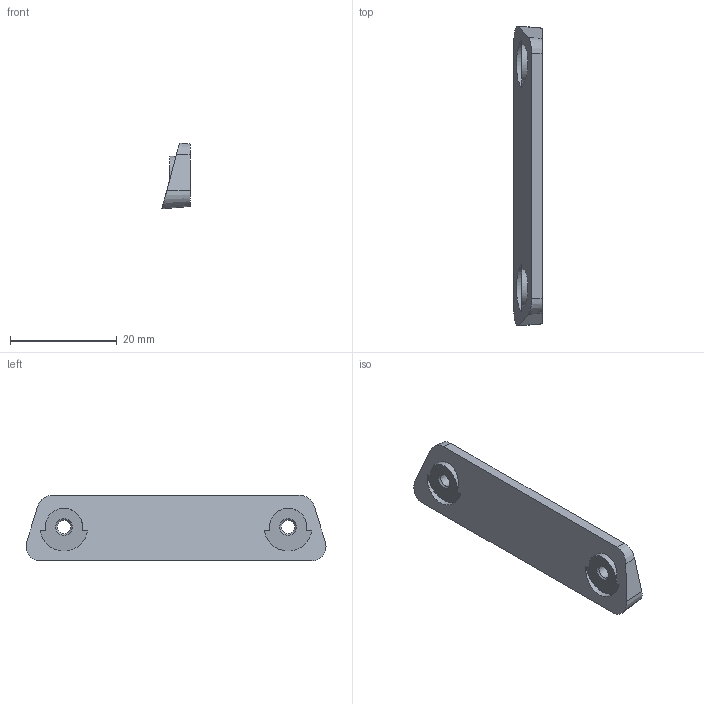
import cadquery as cq
import math

depth_at_bottom = 5.28
height = 12.33
bottom_z = -6.34
top_z = bottom_z + height
front_slope = 15.0
wall_draft = 5.0
end_slope = 15.8
back_bottom_length = 56.88
lower_corner_radius = 2.3
upper_corner_radius = 2.8

hole_spacing = 42.0
hole_diameter = 2.5
hole_mouth_chamfer = 0.3
boss_diameter = 7.0
pocket_diameter = 9.0
seat_z = -0.73

front_lean = math.tan(math.radians(front_slope))
draft_rate = math.tan(math.radians(wall_draft))
depth_at_top = depth_at_bottom - height * front_lean
seat_depth = depth_at_bottom - (seat_z - bottom_z) * front_lean
back_bottom_z = bottom_z + depth_at_bottom * draft_rate
back_top_z = top_z - depth_at_top * draft_rate
end_inset = (back_top_z - back_bottom_z) * math.tan(math.radians(end_slope))

BACK_PLANE = cq.Plane(origin=(0, 0, 0), xDir=(0, -1, 0), normal=(-1, 0, 0))
CUT_MARGIN = 5.0


def make_plate():
    """Flared trapezoid with rounded corners, trimmed by the leaning front face."""
    half_bottom = back_bottom_length / 2
    half_top = half_bottom - end_inset
    outline = (
        cq.Sketch()
        .polygon([
            (-half_bottom, back_bottom_z),
            (half_bottom, back_bottom_z),
            (half_top, back_top_z),
            (-half_top, back_top_z),
            (-half_bottom, back_bottom_z),
        ])
        .vertices("<Y").fillet(lower_corner_radius).reset()
        .vertices(">Y").fillet(upper_corner_radius).reset()
    )
    blank = (
        cq.Workplane(BACK_PLANE)
        .placeSketch(outline)
        .extrude(depth_at_bottom + CUT_MARGIN, taper=-wall_draft)
    )
    return blank.intersect(make_front_limit())


def make_front_limit():
    """Everything behind the leaning front face."""
    low_z = bottom_z - CUT_MARGIN
    high_z = top_z + CUT_MARGIN
    low_x = -depth_at_bottom - CUT_MARGIN * front_lean
    high_x = -depth_at_top + CUT_MARGIN * front_lean
    return (
        cq.Workplane("XZ")
        .polyline([(low_x, low_z), (CUT_MARGIN, low_z), (CUT_MARGIN, high_z), (high_x, high_z)])
        .close()
        .extrude(back_bottom_length, both=True)
    )


def seat_disc(y, diameter, start_depth, end_depth, upper):
    """Part of a disc along X, above or below the seat line, between two depths."""
    disc = (
        cq.Workplane(BACK_PLANE)
        .workplane(offset=start_depth)
        .center(-y, 0)
        .circle(diameter / 2)
        .extrude(end_depth - start_depth)
    )
    keep_z = seat_z + diameter / 2 if upper else seat_z - diameter / 2
    keep = (
        cq.Workplane()
        .box(2 * end_depth, diameter, diameter)
        .translate((0, y, keep_z))
    )
    return disc.intersect(keep)


def add_seat(body, y):
    """Upright screw seat: a boss above the seat line and a pocket below it."""
    boss = seat_disc(y, boss_diameter, 0, seat_depth, True)
    pocket = seat_disc(y, pocket_diameter, seat_depth, depth_at_bottom + CUT_MARGIN, False)
    return body.union(boss).cut(pocket)


def cut_hole(body, y):
    """Through hole with a conical mouth on the seat."""
    hole = cq.Solid.makeCylinder(
        hole_diameter / 2, seat_depth, cq.Vector(0, y, 0), cq.Vector(-1, 0, 0)
    )
    mouth = cq.Solid.makeCone(
        hole_diameter / 2 + hole_mouth_chamfer, hole_diameter / 2, hole_mouth_chamfer,
        cq.Vector(-seat_depth, y, 0), cq.Vector(1, 0, 0),
    )
    return body.cut(cq.Workplane(hole)).cut(cq.Workplane(mouth))


result = make_plate()
for hole_y in (-hole_spacing / 2, hole_spacing / 2):
    result = add_seat(result, hole_y)
    result = cut_hole(result, hole_y)